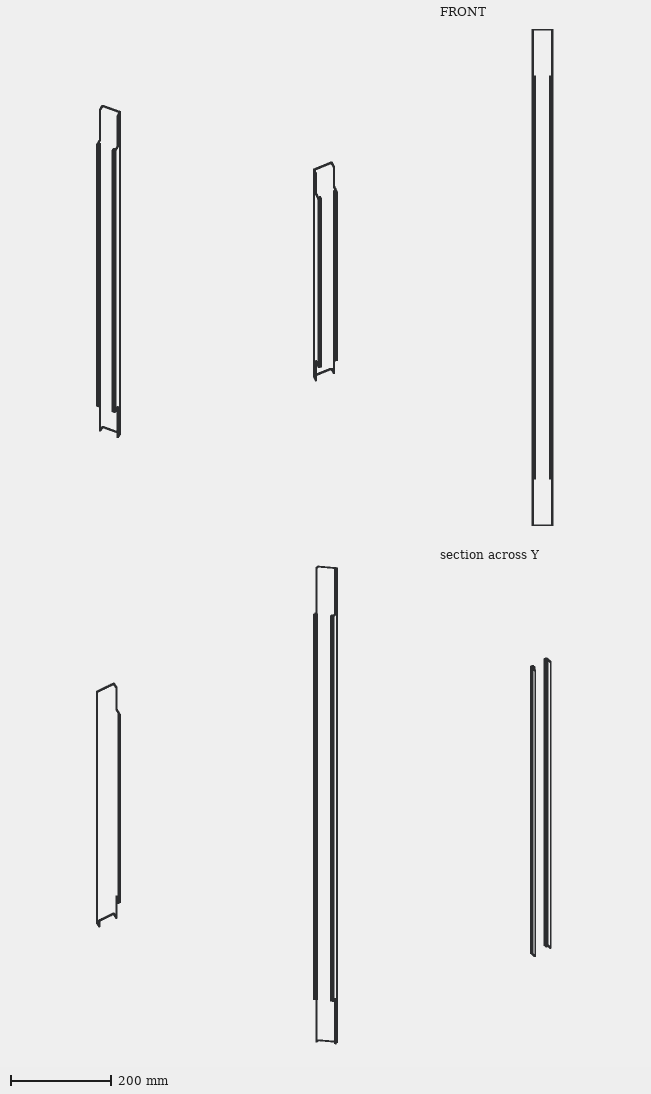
import cadquery as cq

length = 988.6
width = 40.54
depth = 27.0
sheet = 1.5
outer_bend = 2.0
inner_bend = outer_bend - sheet

end_cut_length = 93.0
end_wall_depth = 12.0

strip_width = 4.0
strip_depth = 6.0
strip_wall = 1.2
strip_length = length - 2 * end_cut_length

front_y = -depth / 2


def block(x_size, y_size, z_size, x_center=0, front=front_y):
    """Box centred on x_center and on Z = 0, reaching back in +Y from front."""
    return (
        cq.Workplane("XY")
        .box(x_size, y_size, z_size, centered=(True, False, True))
        .translate((x_center, front, 0))
    )


def make_channel():
    outside = block(width, depth, length)
    outside = outside.edges("|Z and >Y").fillet(outer_bend)
    inside = block(width - 2 * sheet, depth - sheet, length)
    inside = inside.edges("|Z and >Y").fillet(inner_bend)
    channel = outside.cut(inside)

    end_cut = block(width, depth - end_wall_depth, end_cut_length)
    end_cut_z = (length - end_cut_length) / 2
    for end in (-1, 1):
        channel = channel.cut(end_cut.translate((0, 0, end * end_cut_z)))
    return channel


def make_edge_strip(side):
    """Strip against the side wall at -X (side = -1) or +X (side = 1)."""
    x_center = side * (width / 2 - sheet - strip_width / 2)
    outside = block(strip_width, strip_depth, strip_length, x_center)
    groove = block(strip_width - 2 * strip_wall, strip_depth - strip_wall, strip_length, x_center)
    return outside.cut(groove)


channel = make_channel()
edge_strips = [make_edge_strip(side).val() for side in (-1, 1)]

result = cq.Compound.makeCompound([channel.val(), *edge_strips])